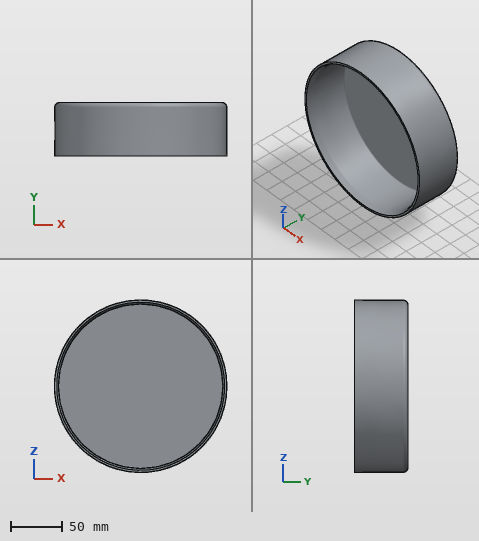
import cadquery as cq
import math

rim_radius = 84.35
height = 52.5
wall_thickness = 4.1
draft_angle = 0.1
outer_fillet = 5.0
floor_fillet = 1.0
lip_depth = 7.0
lip_angle = 15.0

floor_y = height - wall_thickness

draft_slope = math.tan(math.radians(draft_angle))
rear_radius = rim_radius - height * draft_slope

bore_radius = rim_radius - wall_thickness
floor_radius = bore_radius + (floor_y - lip_depth) * draft_slope
mouth_radius = bore_radius + lip_depth * math.tan(math.radians(lip_angle))


def revolve_about_y(points):
    """Revolve a closed XY outline a full turn about the Y axis."""
    full_turn = 360
    outline = cq.Workplane("XY").polyline(points).close()
    return outline.revolve(full_turn, (0, 0, 0), (0, 1, 0))


def make_body():
    """Slightly tapered disc with a rounded edge at the closed end."""
    body = revolve_about_y([
        (0, 0),
        (rim_radius, 0),
        (rear_radius, height),
        (0, height),
    ])
    return body.faces(">Y").edges().fillet(outer_fillet)


def make_cavity():
    """Bore with a flared lip at the mouth and a rounded corner at the floor."""
    cavity = revolve_about_y([
        (0, 0),
        (mouth_radius, 0),
        (bore_radius, lip_depth),
        (floor_radius, floor_y),
        (0, floor_y),
    ])
    return cavity.faces(">Y").edges().fillet(floor_fillet)


result = make_body().cut(make_cavity())